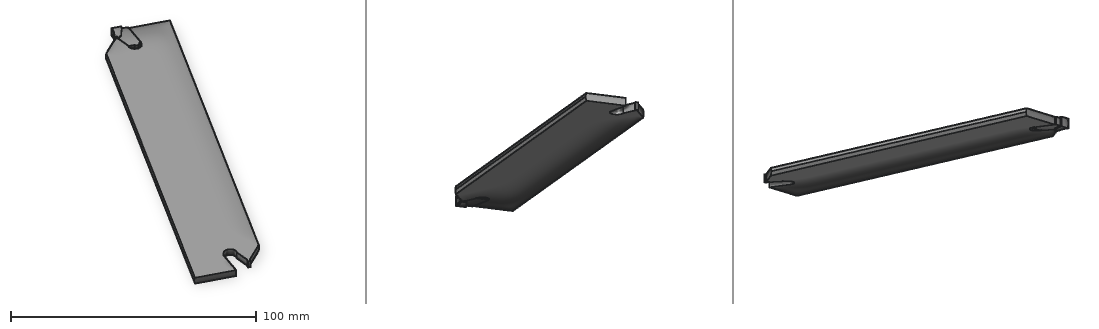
import cadquery as cq
import math


overall_length = 151.7
insert_overhang = 1.4
blade_width = 31.1
blade_thickness = 3.3
ridge_height = 0.5
blade_left = insert_overhang
blade_right = overall_length
blade_middle = ((blade_left + blade_right) / 2, blade_width / 2)

relief_x = 11.4
relief_y = 13.0
relief_radius = 2.8
clamp_angle = math.radians(15)
jaw_tip_x = 5.0
jaw_nose_x = 6.0
jaw_bottom = 6.2
jaw_top = 7.3
slope_end_x = 14.1

tangent_x = relief_x - relief_radius * math.sin(clamp_angle)
tangent_y = relief_y + relief_radius * math.cos(clamp_angle)
relief_bottom = relief_y - relief_radius


def clamp_wall_y(x):
    """Height of the upper seat wall at x."""
    return tangent_y - (tangent_x - x) * math.tan(clamp_angle)


body_front_x = 0.8
body_end_x = 11.7
body_top_end_x = 10.3
heel_x = 12.1
heel_bottom = 12.9
heel_top = 14.4
head_width = 4.1
head_top = 10.5
head_bottom = 6.2
head_shoulder = (5.2, 9.0)
head_back_x = 6.4
dish_depth = 0.5
chip_pocket_width = 2.3
chip_pocket_deepest_x = 2.9
chip_pocket_end_x = 4.1
chip_pocket_depth = 0.6


def slab(sketch, thickness):
    """Extrude a closed outline equally to both sides of the XY plane."""
    return sketch.extrude(thickness / 2, both=True)


def turned(x, y):
    """The point half a turn away about the middle of the blade."""
    return 2 * blade_middle[0] - x, 2 * blade_middle[1] - y


def jaw_wall_y(x):
    """Height of the lower seat wall at x."""
    slope = (relief_bottom - jaw_top) / (relief_x - jaw_nose_x)
    return jaw_top + (x - jaw_nose_x) * slope


def add_blade_end(path, place):
    """Draw one blade end, from its upper corner round the seat to the sloping corner."""
    return (
        path
        .lineTo(*place(blade_left, clamp_wall_y(blade_left)))
        .lineTo(*place(tangent_x, tangent_y))
        .threePointArc(place(relief_x + relief_radius, relief_y), place(relief_x, relief_bottom))
        .lineTo(*place(jaw_nose_x, jaw_top))
        .lineTo(*place(jaw_tip_x, jaw_top))
        .lineTo(*place(jaw_tip_x, jaw_bottom))
        .lineTo(*place(jaw_nose_x, jaw_bottom))
        .lineTo(*place(slope_end_x, 0))
    )


def make_blade():
    path = cq.Workplane("XY").moveTo(blade_left, blade_width)
    path = add_blade_end(path, lambda x, y: (x, y))
    path = path.lineTo(blade_right, 0)
    path = add_blade_end(path, turned)
    plate = slab(path.close(), blade_thickness)

    half = blade_thickness / 2
    v_edged_bar = (
        cq.Workplane("YZ")
        .polyline([
            (0, 0),
            (ridge_height, -half),
            (blade_width - ridge_height, -half),
            (blade_width, 0),
            (blade_width - ridge_height, half),
            (ridge_height, half),
        ])
        .close()
        .extrude(overall_length)
    )
    return plate.intersect(v_edged_bar)


def make_insert(blade):
    body = slab(
        cq.Workplane("XY").polyline([
            (body_front_x, head_bottom + dish_depth),
            (jaw_tip_x, head_bottom + dish_depth),
            (jaw_tip_x, jaw_top),
            (jaw_nose_x, jaw_top),
            (body_end_x, jaw_wall_y(body_end_x)),
            (body_end_x, heel_bottom),
            (heel_x, heel_bottom),
            (heel_x, heel_top),
            (body_top_end_x, clamp_wall_y(body_top_end_x)),
            (blade_left, clamp_wall_y(blade_left)),
            (body_front_x, clamp_wall_y(body_front_x)),
        ]).close(),
        blade_thickness,
    )

    head = slab(
        cq.Workplane("XY")
        .moveTo(0, head_bottom)
        .lineTo(0, head_top)
        .lineTo(body_front_x, head_top)
        .lineTo(*head_shoulder)
        .lineTo(head_back_x, jaw_wall_y(head_back_x))
        .lineTo(jaw_nose_x, head_bottom)
        .lineTo(jaw_tip_x, head_bottom)
        .threePointArc((jaw_tip_x / 2, head_bottom + dish_depth), (0, head_bottom))
        .close(),
        head_width,
    )

    pocket_top = head_bottom + dish_depth + chip_pocket_depth
    chip_pocket = slab(
        cq.Workplane("XY")
        .moveTo(0, head_bottom)
        .lineTo(chip_pocket_end_x, head_bottom)
        .lineTo(chip_pocket_end_x, head_bottom + dish_depth)
        .lineTo(chip_pocket_deepest_x, pocket_top)
        .close(),
        chip_pocket_width,
    )
    return body.union(head).cut(chip_pocket).cut(blade)


blade = make_blade()
insert = make_insert(blade)

result = cq.Compound.makeCompound([blade.solids().val(), insert.solids().val()])